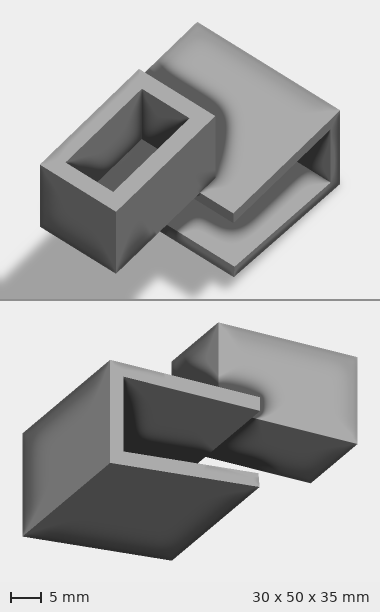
import cadquery as cq
import math

clip_width = 30.0
clip_height = 19.0
arm_length = 28.0
clip_thickness = 2.5
lower_arm_angle = math.radians(5.0)

box_width = 16.0
box_length = 26.0
box_height = 16.0
box_wall = 3.0
box_floor = 3.0
box_overlap = 4.0

box_back_y = -arm_length + box_overlap
box_center_y = box_back_y - box_length / 2


def make_clip():
    """C-shaped clip with a level upper arm and a lower arm sloping up to the front."""
    sine = math.sin(lower_arm_angle)
    cosine = math.cos(lower_arm_angle)
    tip_bottom_y = -arm_length * cosine
    tip_bottom_z = arm_length * sine
    tip_top_y = tip_bottom_y + clip_thickness * sine
    tip_top_z = tip_bottom_z + clip_thickness * cosine
    inner_corner_z = clip_thickness * math.tan(lower_arm_angle) + clip_thickness / cosine
    upper_arm_bottom_z = clip_height - clip_thickness
    outline = [
        (0, 0),
        (0, clip_height),
        (-arm_length, clip_height),
        (-arm_length, upper_arm_bottom_z),
        (-clip_thickness, upper_arm_bottom_z),
        (-clip_thickness, inner_corner_z),
        (tip_top_y, tip_top_z),
        (tip_bottom_y, tip_bottom_z),
    ]
    return cq.Workplane("YZ").polyline(outline).close().extrude(clip_width / 2, both=True)


def make_box():
    """Rectangular box, open at the top, with a solid floor."""
    outer = (
        cq.Workplane("XY", origin=(0, box_center_y, clip_height))
        .rect(box_width, box_length)
        .extrude(box_height)
    )
    cavity = (
        cq.Workplane("XY", origin=(0, box_center_y, clip_height + box_floor))
        .rect(box_width - 2 * box_wall, box_length - 2 * box_wall)
        .extrude(box_height - box_floor)
    )
    return outer.cut(cavity)


result = make_clip().union(make_box())